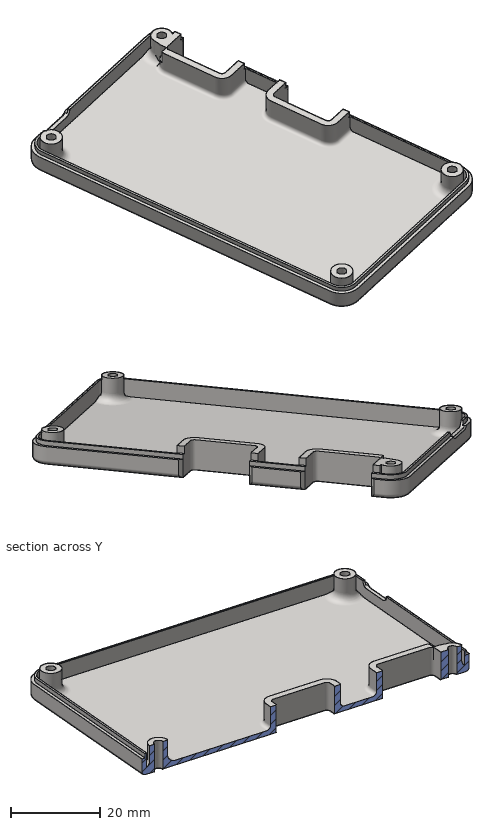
import cadquery as cq
import math

length = 88.8
width = 51.9
height = 7.1
corner_radius = 4.6
bottom_fillet = 1.0
floor_top = 1.3

ledge_top = 4.35
rim_top = 5.4
ledge_width = 0.8
wall_thickness = 1.3

post_inset = 4.5
post_diameter = 5.0
hole_diameter = 2.2
post_fillet = 2.0
post_x = length / 2 - post_inset
post_y = width / 2 - post_inset

cutout_width = 15.7
cutouts = [(-36.6, 7.6), (-7.8, 7.1)]
cutout_corner_radius = 1.0
cutout_mouth_chamfer = 0.8

frame_thickness = 1.7
frame_corner_radius = cutout_corner_radius + frame_thickness
frame_fillet = 1.0
frame_setback = 1.7

pocket_floor = 3.9
pocket_inset = 0.3
pocket_top_y = width / 2 - cutouts[0][1] + pocket_inset

dip_width = 9.2
dip_centre_y = -14.3
dip_floor = 4.0
dip_chamfer = 0.35

overshoot = 0.9
selection_margin = 0.1
diagonal_share = math.sqrt(0.5)


def rounded_plate(inset, bottom, top):
    """Plate that follows the outer outline, moved inward by inset."""
    return (
        cq.Workplane("XY", origin=(0, 0, bottom))
        .rect(length - 2 * inset, width - 2 * inset)
        .extrude(top - bottom)
        .edges("|Z")
        .fillet(corner_radius - inset)
    )


def box_between(x_range, y_range, z_range):
    """Block between two limits along each axis."""
    sizes = [limits[1] - limits[0] for limits in (x_range, y_range, z_range)]
    corner = (x_range[0], y_range[0], z_range[0])
    return cq.Workplane("XY").box(*sizes, centered=False).translate(corner)


def tray():
    """Open tray with a rounded bottom edge and a stepped rim."""
    base = rounded_plate(0, 0, ledge_top).faces("<Z").edges().fillet(bottom_fillet)
    lip = rounded_plate(ledge_width, floor_top, rim_top)
    return base.union(lip).cut(cavity())


def cavity():
    """Space inside the walls, extended up to the full height."""
    return rounded_plate(wall_thickness, floor_top, height)


def post(x, y):
    """Round post with a concave flare where it meets the floor."""
    radius = post_diameter / 2
    flare_radius = radius + post_fillet
    flare_top = floor_top + post_fillet
    arc_offset = post_fillet * (1 - diagonal_share)
    return (
        cq.Workplane("XZ")
        .moveTo(0, 0)
        .lineTo(flare_radius, 0)
        .lineTo(flare_radius, floor_top)
        .threePointArc((radius + arc_offset, floor_top + arc_offset), (radius, flare_top))
        .lineTo(radius, height)
        .lineTo(0, height)
        .close()
        .revolve(360, (0, 0, 0), (0, 1, 0))
        .translate((x, y, 0))
    )


def cutout_block(left, depth, grow, radius, bottom):
    """Cutout volume, grown on three sides, open through the +Y side."""
    x_range = (left - grow, left + cutout_width + grow)
    y_range = (width / 2 - depth - grow, width / 2 + overshoot)
    block = box_between(x_range, y_range, (bottom, height))
    return block.edges("|Z and <Y").fillet(radius)


def frame(left, depth):
    """Block around one cutout with a concave fillet where it meets the floor."""
    wall = cutout_block(left, depth, frame_thickness, frame_corner_radius, 0)
    floor_margin = frame_thickness + 2 * frame_fillet
    floor_patch = box_between(
        (left - floor_margin, left + cutout_width + floor_margin),
        (width / 2 - depth - floor_margin, width / 2 + overshoot),
        (0, floor_top),
    )
    foot_margin = frame_thickness + selection_margin
    foot_zone = cq.selectors.BoxSelector(
        (left - foot_margin, width / 2 - depth - foot_margin, floor_top - selection_margin),
        (left + cutout_width + foot_margin, width / 2, floor_top + selection_margin),
        boundingbox=False,
    )
    return floor_patch.union(wall).edges(foot_zone).fillet(frame_fillet)


def inner_limit():
    """Space the posts and frames may fill: up to the walls, and set back above the rim."""
    return rounded_plate(wall_thickness, floor_top / 2, rim_top).union(
        rounded_plate(frame_setback, rim_top, height)
    )


def cutout(left, depth):
    """Through opening with its two mouth corners cut at 45 degrees."""
    opening = cutout_block(left, depth, 0, cutout_corner_radius, 0)
    reach = cutout_mouth_chamfer
    outer_y = width / 2
    mouth = (
        cq.Workplane("XY")
        .moveTo(left, outer_y - reach)
        .lineTo(left - reach, outer_y)
        .lineTo(left + cutout_width + reach, outer_y)
        .lineTo(left + cutout_width, outer_y - reach)
        .close()
        .extrude(height)
    )
    return opening.union(mouth)


def post_web():
    """Filler joining the -X +Y post to the first frame, ending flush with the pocket."""
    left = cutouts[0][0]
    return (
        cq.Workplane("XY", origin=(0, 0, floor_top))
        .moveTo(-post_x, post_y)
        .lineTo(-post_x, post_y - post_diameter / 2)
        .lineTo(left - frame_thickness, pocket_top_y)
        .lineTo(left, pocket_top_y)
        .lineTo(left, post_y)
        .close()
        .extrude(height - floor_top)
    )


def frame_pocket():
    """Pocket in the corner of the first frame, beside the -X +Y post."""
    left, depth = cutouts[0]
    return box_between(
        (left - frame_thickness, left),
        (width / 2 - depth - frame_thickness, pocket_top_y),
        (pocket_floor, height),
    )


def dip_slot(grow):
    """Sharp-edged slot with quarter-round ends, through the -X wall, enlarged by grow."""
    end_radius = rim_top - dip_floor
    half_width = dip_width / 2 + grow
    radius = end_radius + grow
    diagonal = radius * diagonal_share
    return (
        cq.Workplane("YZ", origin=(-length / 2, dip_centre_y, rim_top))
        .moveTo(-half_width, 0)
        .threePointArc((radius - half_width - diagonal, -diagonal), (radius - half_width, -radius))
        .lineTo(half_width - radius, -radius)
        .threePointArc((half_width - radius + diagonal, -diagonal), (half_width, 0))
        .close()
    )


def rim_dip():
    """Dip through the -X rim, with a 45 degree chamfer at the outer face."""
    slot = dip_slot(0).extrude(wall_thickness)
    chamfer = dip_slot(dip_chamfer).extrude(dip_chamfer, taper=45)
    return slot.union(chamfer)


def screw_holes():
    """Through holes on the post axes."""
    return (
        cq.Workplane("XY")
        .rect(2 * post_x, 2 * post_y, forConstruction=True)
        .vertices()
        .circle(hole_diameter / 2)
        .extrude(height)
    )


inside = post_web()
for place in cutouts:
    inside = inside.union(frame(*place))
for x in (-post_x, post_x):
    for y in (-post_y, post_y):
        inside = inside.union(post(x, y))

result = tray().union(inside.intersect(inner_limit()))
for place in cutouts:
    result = result.cut(cutout(*place))
result = result.cut(frame_pocket()).cut(rim_dip()).cut(screw_holes())